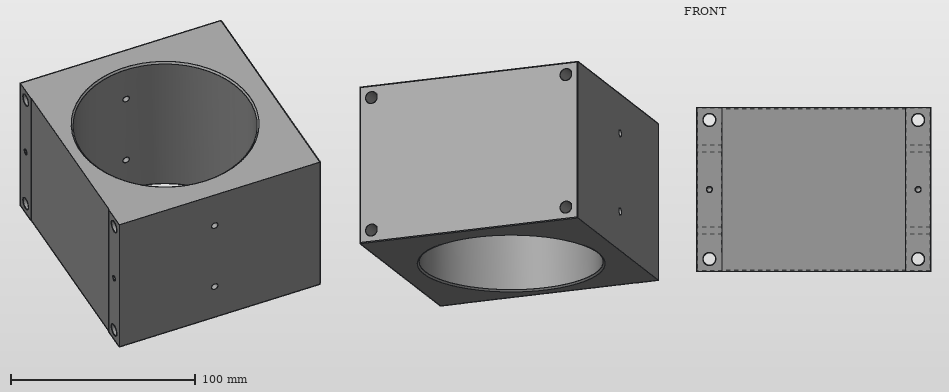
import cadquery as cq
import math

width = 127.0
depth = 120.6
height = 89.2
back_chamfer = 0.5

bore_diameter = 100.0
bore_chamfer = 1.0
bore_to_front = 57.2

strip_width = 13.7
relief_depth = 0.3

strip_hole_x = width / 2 - 6.9
bolt_diameter = 6.7
bolt_edge_distance = 6.9
bolt_z = height / 2 - bolt_edge_distance
pin_diameter = 2.9
pin_depth = 10.2
drill_point_angle = 118.0
entry_chamfer = 0.19

side_hole_diameter = 3.8
side_hole_spacing = 44.5


def make_block():
    """Block with its back face chamfered all around."""
    block = cq.Workplane("XY").box(width, depth, height, centered=(True, False, True))
    return block.faces(">Y").edges().chamfer(back_chamfer)


def make_bore():
    """Vertical through bore, widened by a chamfer at both ends."""
    radius = bore_diameter / 2
    mouth_radius = radius + bore_chamfer
    half_height = height / 2
    profile = [
        (0, -half_height),
        (mouth_radius, -half_height),
        (radius, -half_height + bore_chamfer),
        (radius, half_height - bore_chamfer),
        (mouth_radius, half_height),
        (0, half_height),
    ]
    bore = cq.Workplane("XZ").polyline(profile).close().revolve(360, (0, 0, 0), (0, 1, 0))
    return bore.translate((0, bore_to_front, 0))


def make_relief():
    """Full-height recess between the front strips."""
    relief_width = width - 2 * strip_width
    return cq.Workplane("XY").box(relief_width, relief_depth, height, centered=(True, False, True))


def make_strip_hole(x, z, diameter, hole_depth, tip_length=0.0):
    """Hole entering a strip from the front, chamfered at its mouth, with an optional conical end."""
    radius = diameter / 2
    profile = [
        (0, 0),
        (radius + entry_chamfer, 0),
        (radius, entry_chamfer),
        (radius, hole_depth),
        (0, hole_depth + tip_length),
    ]
    hole = cq.Workplane("XY").polyline(profile).close().revolve(360, (0, 0, 0), (0, 1, 0))
    return hole.translate((x, 0, z))


def make_side_holes():
    """Two holes through both side walls, level with the bore axis."""
    points = [(bore_to_front, z) for z in (-side_hole_spacing / 2, side_hole_spacing / 2)]
    holes = cq.Workplane("YZ").pushPoints(points).circle(side_hole_diameter / 2)
    return holes.extrude(width / 2, both=True)


result = make_block().cut(make_bore()).cut(make_relief())
result = result.cut(make_side_holes())

pin_tip_length = pin_diameter / 2 / math.tan(math.radians(drill_point_angle / 2))
for hole_x in (-strip_hole_x, strip_hole_x):
    result = result.cut(make_strip_hole(hole_x, 0, pin_diameter, pin_depth, pin_tip_length))
    for hole_z in (-bolt_z, bolt_z):
        result = result.cut(make_strip_hole(hole_x, hole_z, bolt_diameter, depth))